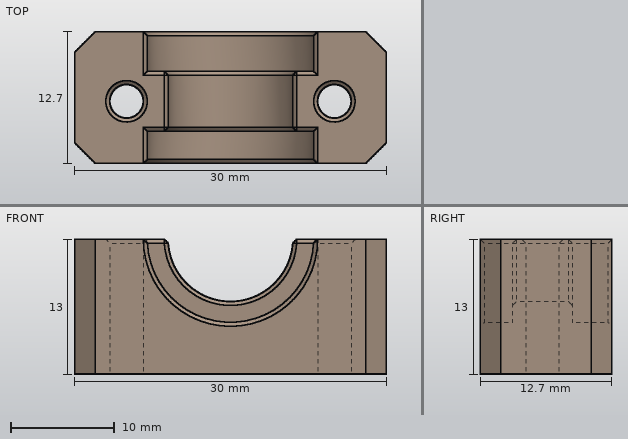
import cadquery as cq

length = 30.0
depth = 12.7
height = 13.0
corner_chamfer = 1.98

rib_radius = 6.0
recess_radius = 8.0
front_recess_depth = 3.1
back_recess_depth = 3.8
edge_chamfer = 0.4

hole_diameter = 3.2
hole_spacing = 20.0
countersink_diameter = 4.0
countersink_angle = 90

front_y = -depth / 2
back_y = depth / 2
rib_front_y = front_y + front_recess_depth
rib_back_y = back_y - back_recess_depth
rib_middle_y = (rib_front_y + rib_back_y) / 2


def cylinder_along_y(radius, start_y, end_y):
    """Cylinder about the saddle axis, which lies in the top face."""
    return (
        cq.Workplane("XZ", origin=(0, start_y, height))
        .circle(radius)
        .extrude(start_y - end_y)
    )


def make_block():
    return (
        cq.Workplane("XY")
        .rect(length, depth)
        .extrude(height)
        .edges("|Z")
        .chamfer(corner_chamfer)
    )


def cut_saddle(body):
    body = body.cut(cylinder_along_y(rib_radius, front_y, back_y))
    body = body.cut(cylinder_along_y(recess_radius, front_y, rib_front_y))
    return body.cut(cylinder_along_y(recess_radius, rib_back_y, back_y))


def chamfer_saddle_edges(body):
    """Break the top rims, the two end arcs and the two rib arcs of the saddle."""
    saddle_box = cq.selectors.BoxSelector(
        (-recess_radius - edge_chamfer, front_y - edge_chamfer, height - edge_chamfer),
        (recess_radius + edge_chamfer, back_y + edge_chamfer, height + edge_chamfer),
    )
    top_edges = body.faces(">Z").edges()
    long_rims = top_edges.edges("|Y").edges(saddle_box)
    shoulder_rims = top_edges.edges("|X").edges(saddle_box)
    end_arcs = body.faces("<Y or >Y").edges("%CIRCLE")
    rib_arcs = body.edges("%CIRCLE").filter(lambda arc: arc.radius() < recess_radius - edge_chamfer)
    sharp_edges = long_rims.add(shoulder_rims).add(end_arcs).add(rib_arcs).vals()
    return body.newObject(sharp_edges).chamfer(edge_chamfer)


def cut_screw_holes(body):
    for side in (-1, 1):
        body = (
            body.faces(">Z")
            .workplane(origin=(side * hole_spacing / 2, rib_middle_y, height))
            .cskHole(hole_diameter, countersink_diameter, countersink_angle)
        )
    return body


result = cut_screw_holes(chamfer_saddle_edges(cut_saddle(make_block())))